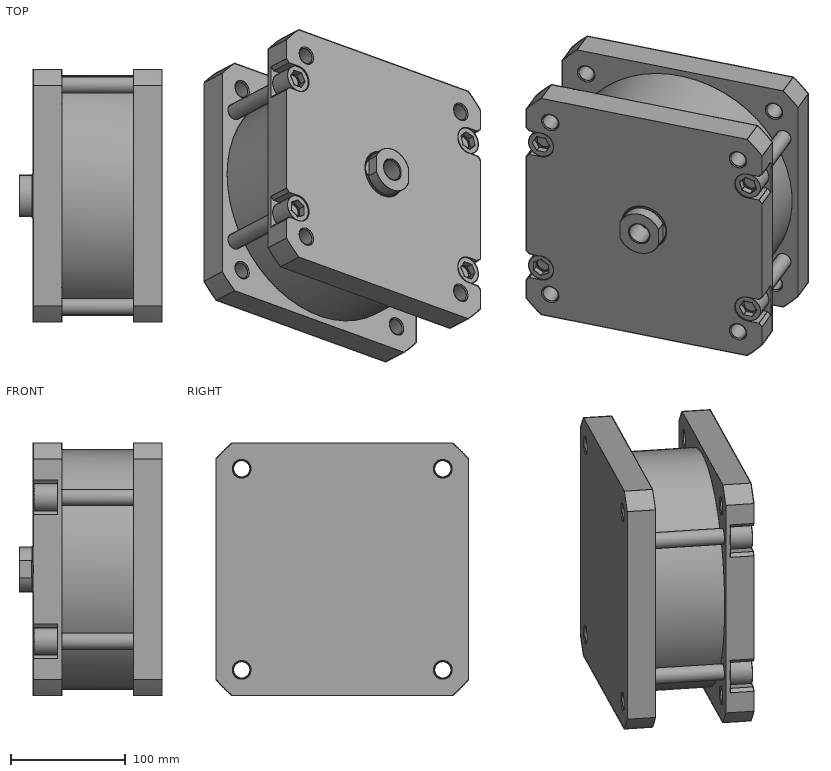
import cadquery as cq
import math


cover_size = 220.0
cover_thickness = 25.0
corner_diameter = 292.0
corner_hole_offset = 87.5
corner_hole_diameter = 14.2
corner_hole_mouth = 16.2
mouth_depth = (corner_hole_mouth - corner_hole_diameter) / 2

barrel_diameter = 209.0
barrel_length = 62.25

rod_diameter = 40.0
rod_tip_diameter = 39.2
rod_tip_length = 11.0
rod_across_flats = 36.0
rod_projection = 12.0
flat_length = 10.5
rod_bore_diameter = 18.4
rod_bore_mouth = 20.0
rod_bore_depth = 24.0
drill_point_angle = 118.0
rod_opening_diameter = 42.0

screw_circle_radius = 115.0
screw_angle = 33.0
screw_offset_y = screw_circle_radius * math.cos(math.radians(screw_angle))
screw_offset_z = screw_circle_radius * math.sin(math.radians(screw_angle))
shank_diameter = 14.0
shank_engagement = 20.0
head_diameter = 23.4
head_length = 20.2
head_recess = 0.8
hex_across_flats = 14.0
hex_depth = 6.0
socket_relief_diameter = 12.4
socket_relief_depth = 1.0

slot_depth = head_recess + head_length
slot_width = 24.0
slot_edge_chamfer = 3.0

barrel_start = cover_thickness
rear_cover_start = barrel_start + barrel_length

screws = [
    (1, 1, 0.0),
    (1, -1, 30.0),
    (-1, 1, 15.0),
    (-1, -1, 0.0),
]


def plane_at(x):
    """Plane normal to the rod axis, with local x along Y and local y along Z."""
    return cq.Workplane("YZ", origin=(x, 0, 0))


def cylinder(x, diameter, length, y=0.0, z=0.0):
    return plane_at(x).center(y, z).circle(diameter / 2).extrude(length)


def cone(x, start_diameter, end_diameter, length, y=0.0, z=0.0):
    """Truncated cone along X, or a full one where the end diameter is zero."""
    profile = [
        (x, 0),
        (x, start_diameter / 2),
        (x + length, end_diameter / 2),
        (x + length, 0),
    ]
    if end_diameter == 0:
        profile.pop()
    solid = cq.Workplane("XY").polyline(profile).close().revolve(360, (0, 0, 0), (1, 0, 0))
    return solid.translate((0, y, z))


def blank_cover(x):
    """Square plate with round corners and four chamfered through holes."""
    plate = plane_at(x).rect(cover_size, cover_size).extrude(cover_thickness)
    plate = plate.intersect(cylinder(x, corner_diameter, cover_thickness))
    far_face = x + cover_thickness
    for side_y in (1, -1):
        for side_z in (1, -1):
            y = side_y * corner_hole_offset
            z = side_z * corner_hole_offset
            plate = plate.cut(cylinder(x, corner_hole_diameter, cover_thickness, y, z))
            plate = plate.cut(cone(x, corner_hole_mouth, corner_hole_diameter, mouth_depth, y, z))
            plate = plate.cut(cone(far_face, corner_hole_mouth, corner_hole_diameter, -mouth_depth, y, z))
    return plate


def head_slot(side_y, side_z):
    """Slot that is open to the side of the cover, with chamfered outer edges."""
    half_width = slot_width / 2
    half_mouth = half_width + slot_edge_chamfer
    side = cover_size / 2
    neck = side - slot_edge_chamfer
    return (
        plane_at(0)
        .center(0, side_z * screw_offset_z)
        .moveTo(side_y * side, half_mouth)
        .lineTo(side_y * neck, half_width)
        .lineTo(side_y * screw_offset_y, half_width)
        .threePointArc(
            (side_y * (screw_offset_y - half_width), 0),
            (side_y * screw_offset_y, -half_width),
        )
        .lineTo(side_y * neck, -half_width)
        .lineTo(side_y * side, -half_mouth)
        .close()
        .extrude(slot_depth)
    )


def make_front_cover():
    cover = blank_cover(0)
    cover = cover.cut(cylinder(0, rod_diameter, cover_thickness))
    mouth = (rod_opening_diameter - rod_diameter) / 2
    cover = cover.cut(cone(0, rod_opening_diameter, rod_diameter, mouth))
    for side_y, side_z, _ in screws:
        y = side_y * screw_offset_y
        z = side_z * screw_offset_z
        cover = cover.cut(head_slot(side_y, side_z))
        cover = cover.cut(cylinder(0, shank_diameter, cover_thickness, y, z))
    return cover


def make_rear_cover():
    cover = blank_cover(rear_cover_start)
    for side_y, side_z, _ in screws:
        y = side_y * screw_offset_y
        z = side_z * screw_offset_z
        cover = cover.cut(cylinder(rear_cover_start, shank_diameter, shank_engagement, y, z))
    return cover


def make_barrel():
    return cylinder(barrel_start, barrel_diameter, barrel_length)


def make_rod():
    """Rod with two wrench flats and a drilled bore in its tip."""
    tip = -rod_projection
    shoulder = tip + rod_tip_length
    rod = cylinder(tip, rod_tip_diameter, rod_tip_length)
    rod = rod.union(cylinder(shoulder, rod_diameter, cover_thickness - shoulder))
    half_flats = rod_across_flats / 2
    rod_radius = rod_diameter / 2
    ramp = rod_radius - half_flats
    for side in (1, -1):
        flat = (
            cq.Workplane("XY")
            .polyline([
                (tip, side * half_flats),
                (tip + flat_length, side * half_flats),
                (tip + flat_length + ramp, side * rod_radius),
                (tip, side * rod_radius),
            ])
            .close()
            .extrude(rod_radius, both=True)
        )
        rod = rod.cut(flat)
    point_length = rod_bore_diameter / 2 / math.tan(math.radians(drill_point_angle / 2))
    rod = rod.cut(cylinder(tip, rod_bore_diameter, rod_bore_depth))
    mouth_length = (rod_bore_mouth - rod_bore_diameter) / 2
    rod = rod.cut(cone(tip, rod_bore_mouth, rod_bore_diameter, mouth_length))
    return rod.cut(cone(tip + rod_bore_depth, rod_bore_diameter, 0, point_length))


def make_tie_screw(side_y, side_z, hex_turn):
    """Socket head screw that clamps the barrel between the covers."""
    y = side_y * screw_offset_y
    z = side_z * screw_offset_z
    shank_end = rear_cover_start + shank_engagement
    head = cylinder(head_recess, head_diameter, head_length, y, z)
    shank = cylinder(slot_depth, shank_diameter, shank_end - slot_depth, y, z)
    hex_across_corners = hex_across_flats / math.cos(math.radians(30))
    socket = (
        plane_at(head_recess)
        .polygon(6, hex_across_corners)
        .extrude(hex_depth)
        .rotate((0, 0, 0), (1, 0, 0), hex_turn)
        .translate((0, y, z))
    )
    relief = cylinder(head_recess + hex_depth, socket_relief_diameter, socket_relief_depth, y, z)
    return head.union(shank).cut(socket).cut(relief)


front_cover = make_front_cover()
rear_cover = make_rear_cover()
barrel = make_barrel()
piston_rod = make_rod()
tie_screws = [make_tie_screw(*screw) for screw in screws]

result = cq.Compound.makeCompound([
    front_cover.val(),
    rear_cover.val(),
    barrel.val(),
    piston_rod.val(),
    *[screw.val() for screw in tie_screws],
])